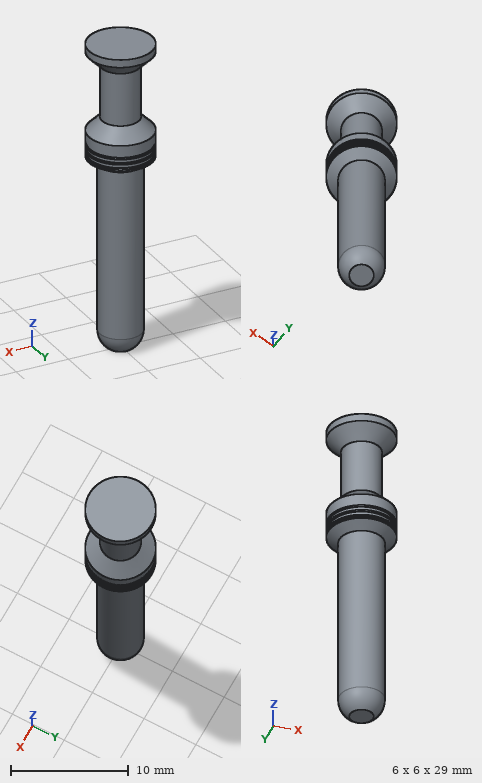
import cadquery as cq
import math

total_length = 29.0
head_radius = 6.0 / 2
neck_radius = 3.5 / 2
shaft_radius = 4.0 / 2

head_rim_depth = 0.72
neck_end_depth = 7.0
collar_lower_edge_depth = 10.7
collar_bottom_depth = 11.3

neck_cone_height = head_radius - neck_radius

tip_height = 1.7
tip_flat_radius = math.sqrt(shaft_radius**2 - tip_height**2)
tip_arc_middle_angle = math.asin(tip_height / shaft_radius) / 2
tip_arc_middle = (
    shaft_radius * math.cos(tip_arc_middle_angle),
    tip_height - shaft_radius * math.sin(tip_arc_middle_angle),
)

groove_count = 3
groove_pitch = 0.5
groove_width = 0.2
groove_depth = groove_width / 2
first_groove_depth = 9.45


def height(depth_below_top):
    """Z of a level given as a distance below the top face."""
    return total_length - depth_below_top


def make_body():
    """Revolve the half outline of the pin, without grooves."""
    outline = (
        cq.Workplane("XZ")
        .moveTo(0, 0)
        .lineTo(tip_flat_radius, 0)
        .threePointArc(tip_arc_middle, (shaft_radius, tip_height))
        .lineTo(shaft_radius, height(collar_bottom_depth))
        .lineTo(head_radius, height(collar_lower_edge_depth))
        .lineTo(head_radius, height(neck_end_depth + neck_cone_height))
        .lineTo(neck_radius, height(neck_end_depth))
        .lineTo(neck_radius, height(head_rim_depth + neck_cone_height))
        .lineTo(head_radius, height(head_rim_depth))
        .lineTo(head_radius, total_length)
        .lineTo(0, total_length)
        .close()
    )
    return outline.revolve(360, (0, 0), (0, 1))


def make_groove_cutter(center_z):
    """Triangular ring whose point reaches into the collar."""
    inner_radius = head_radius - groove_depth
    outer_radius = head_radius + groove_depth
    half_opening = 2 * groove_depth
    outline = (
        cq.Workplane("XZ")
        .moveTo(inner_radius, center_z)
        .lineTo(outer_radius, center_z + half_opening)
        .lineTo(outer_radius, center_z - half_opening)
        .close()
    )
    return outline.revolve(360, (0, 0), (0, 1))


result = make_body()
for index in range(groove_count):
    groove_z = height(first_groove_depth + index * groove_pitch)
    result = result.cut(make_groove_cutter(groove_z))